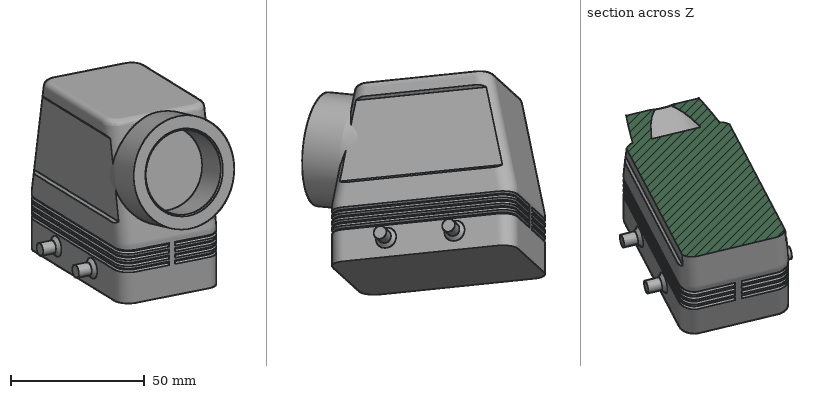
import cadquery as cq
import math

body_length = 73.0
body_width = 43.0
body_height = 70.0
kink_height = 23.5
wall_tilt = 11.5
kink_radius = 5.0
corner_radius = 6.0
top_radius = 2.5

groove_count = 4
groove_pitch = 2.45
groove_width = 1.5
groove_depth = 0.7
lowest_groove_height = 13.2
groove_gap = 2.6

recess_depth = 1.0
recess_bottom = 31.9
recess_top = 63.0

collar_diameter = body_width
collar_length = 15.0
collar_tip_x = 49.74
collar_tip_z = 73.17
collar_draft = 10.0
collar_root_length = 9.0
bore_diameter = 32.0
bore_chamfer = 0.6

pin_spacing = 27.0
pin_height = 7.5
pin_diameter = 5.0
pin_span = 57.0
pin_base_diameter = 8.0

half_length = body_length / 2
half_width = body_width / 2
tilt = math.radians(wall_tilt)
cutter_overlap = 1.0
collar_radius = collar_diameter / 2
mouth_x = collar_tip_x - collar_radius * math.sin(tilt)
mouth_z = collar_tip_z - collar_radius * math.cos(tilt)
collar_plane = cq.Plane(
    origin=(mouth_x, 0, mouth_z),
    xDir=(0, 1, 0),
    normal=(-math.cos(tilt), 0, -math.sin(tilt)),
)


def make_body():
    """Rounded hood with leaning ends."""
    half_top = half_length - (body_height - kink_height) * math.tan(tilt)
    profile = (
        cq.Workplane("XZ")
        .moveTo(-half_length, 0)
        .lineTo(half_length, 0)
        .lineTo(half_length, kink_height)
        .lineTo(half_top, body_height)
        .lineTo(-half_top, body_height)
        .lineTo(-half_length, kink_height)
        .close()
        .extrude(half_width, both=True)
    )
    between_floor_and_top = cq.selectors.BoxSelector(
        (-body_length, -body_width, kink_height / 2),
        (body_length, body_width, (kink_height + body_height) / 2),
    )
    body = profile.edges("|Y").edges(between_floor_and_top).fillet(kink_radius)
    body = body.faces(">Y or <Y").edges("not(<Z or >Z)").fillet(corner_radius)
    return body.faces(">Z").edges().fillet(top_radius)


def make_groove(height):
    """V-shaped ring around the base, interrupted at the middle of both ends."""
    half_groove = groove_width / 2
    flank_taper = math.degrees(math.atan2(groove_depth, half_groove))
    level = cq.Workplane("XY", origin=(0, 0, height))
    root_outline = (
        level.sketch()
        .rect(body_length - 2 * groove_depth, body_width - 2 * groove_depth)
        .vertices()
        .fillet(corner_radius - groove_depth)
        .finalize()
    )
    upper_core = root_outline.extrude(half_groove, taper=-flank_taper)
    lower_core = root_outline.extrude(-half_groove, taper=-flank_taper)
    outer_length = body_length + 2 * cutter_overlap
    outer_width = body_width + 2 * cutter_overlap
    block = level.box(outer_length, outer_width, groove_width)
    gap = level.box(outer_length, groove_gap, groove_width)
    return block.cut(upper_core.union(lower_core)).cut(gap)


def make_recess(side):
    """Full-length side recess with 45 degree upper and lower flanks."""
    floor = half_width - recess_depth
    outer = half_width + cutter_overlap
    flare = outer - floor
    return (
        cq.Workplane("YZ", origin=(-half_length, 0, 0))
        .moveTo(side * floor, recess_bottom)
        .lineTo(side * floor, recess_top)
        .lineTo(side * outer, recess_top + flare)
        .lineTo(side * outer, recess_bottom - flare)
        .close()
        .extrude(body_length)
    )


def make_collar():
    """Cylinder running inwards from the mouth, ending in a drafted root inside the body."""
    collar = cq.Workplane(collar_plane).circle(collar_radius).extrude(collar_length)
    root = (
        cq.Workplane(collar_plane)
        .workplane(offset=collar_length)
        .circle(collar_radius)
        .extrude(collar_root_length, taper=collar_draft)
    )
    return collar.union(root)


def make_bore():
    """Blind bore with a chamfered mouth."""
    mouth_radius = bore_diameter / 2 + bore_chamfer
    bore = cq.Workplane(collar_plane).circle(bore_diameter / 2).extrude(collar_length)
    mouth = cq.Workplane(collar_plane).circle(mouth_radius).extrude(bore_chamfer, taper=45)
    return bore.union(mouth)


def make_pin(x, side):
    """Locking pin on a 45 degree conical base."""
    base_rise = (pin_base_diameter - pin_diameter) / 2
    profile = (
        cq.Workplane("XY", origin=(x, 0, pin_height))
        .lineTo(pin_base_diameter / 2, 0)
        .lineTo(pin_base_diameter / 2, side * half_width)
        .lineTo(pin_diameter / 2, side * (half_width + base_rise))
        .lineTo(pin_diameter / 2, side * pin_span / 2)
        .lineTo(0, side * pin_span / 2)
        .close()
    )
    return profile.revolve(360, (0, 0, 0), (0, 1, 0))


result = make_body()
for index in range(groove_count):
    result = result.cut(make_groove(lowest_groove_height + index * groove_pitch))
for side in (-1, 1):
    result = result.cut(make_recess(side))
result = result.union(make_collar()).cut(make_bore())
for side in (-1, 1):
    for x in (-pin_spacing / 2, pin_spacing / 2):
        result = result.union(make_pin(x, side))